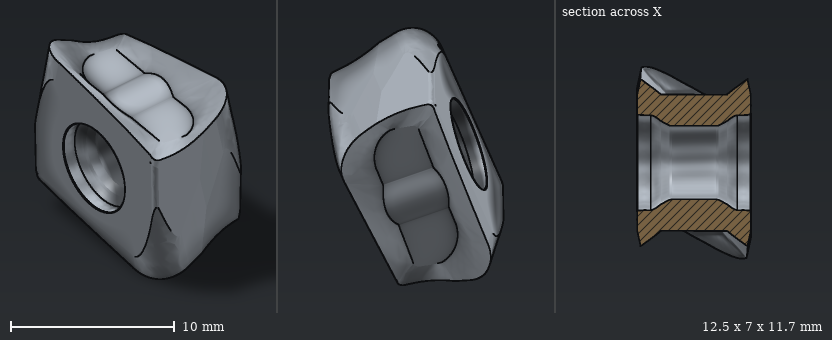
import cadquery as cq
import math

THICKNESS = 7.0
HALF_THICKNESS = THICKNESS / 2
REACH = 10.0

RELIEF_SLOPE = 0.215
FRONT_LINE_U = -4.386
FRONT_LINE_SLOPE = 0.0227
MID_LENGTH_X = 6.245
KNEE_U = -1.0
KNEE_X = 6.2
TANGENT_U = -2.17
TANGENT_X = 6.155
LARGE_CORNER_R = 2.4
SMALL_CORNER_R = 0.43
SIDE_EDGE_R = 0.35
END_FACE_X = 6.315
END_FACE_SLOPE = 0.134

FLOOR_Z = 3.88
HUMP_HALF_WIDTH = 1.5
HUMP_HEIGHT = 0.3
HUMP_FILLET_R = 0.25
HUMP_R = (HUMP_HALF_WIDTH ** 2 + HUMP_HEIGHT ** 2) / (2 * HUMP_HEIGHT)

LARGE_CORNER_WALL = [
    ((-6.18, 0.0, 4.54), (-5.02, 0.3)),
    ((-6.12, -1.05, 5.09), (-4.16, -0.95)),
    ((-5.75, -2.0, 5.54), (-3.48, -1.33)),
    ((-5.21, -2.61, 5.77), (-2.85, -1.49)),
    ((-4.4, -3.05, 5.81), (-2.0, -1.53)),
    ((-3.6, -3.22, 5.78), (-1.5, -1.56)),
]
LONG_WALL = [
    ((-3.6, -3.22, 5.78), (-1.5, -1.56)),
    ((0.26, -3.26, 5.07), (1.5, -1.77)),
    ((3.63, -3.33, 4.38), (3.86, -1.94)),
    ((5.3, -3.4, 3.95), (4.44, -1.98)),
]
SMALL_CORNER_WALL = [
    ((5.3, -3.4, 3.95), (4.44, -1.98)),
    ((5.7, -3.38, 3.76), (4.7, -1.88)),
    ((5.82, -3.15, 3.71), (4.8, -1.7)),
]
END_WALL = [
    ((5.82, -3.15, 3.71), (4.8, -1.7)),
    ((5.9, -2.6, 3.71), (4.86, -1.4)),
    ((5.97, -1.8, 3.79), (4.92, -1.1)),
    ((6.07, -1.0, 4.02), (4.99, -0.7)),
    ((6.18, 0.0, 4.54), (5.02, -0.3)),
]
WALL_OVERRUN = 0.25

BORE_R = 2.23
BORE_END = 1.35
BORE_BLEND_R = 2.26
BORE_BLEND_END = 1.5
SEAT_INNER_R = 2.53
SEAT_INNER_END = 2.02
SEAT_OUTER_R = 2.65
SEAT_OUTER_END = 2.17
WALL_R = 2.9
WALL_START = 2.63
MOUTH_WALL_R = 2.93
MOUTH_R = 2.98
MOUTH_CHAMFER = MOUTH_R - MOUTH_WALL_R


def half_turn(solid, axis):
    """Turn a solid by 180 degrees about the named axis."""
    tips = {"x": (1, 0, 0), "y": (0, 1, 0), "z": (0, 0, 1)}
    return solid.rotate((0, 0, 0), tips[axis], 180)


def leaning_prism(outline, lean):
    """Sweep a closed outline, given at Z = 0, along the lean direction to both sides."""
    travel = cq.Vector(*lean) * REACH
    wire = outline.wires().val().translate(travel * -1)
    return cq.Workplane(cq.Solid.extrudeLinear(wire, [], travel * 2))


def rounded(points, radii):
    """Closed outline with the corners at the given indices rounded."""
    wire = cq.Wire.makePolygon([cq.Vector(x, y, 0) for x, y in points], close=True)
    for index, radius in radii.items():
        x, y = points[index]
        corner = min(wire.Vertices(), key=lambda v: math.hypot(v.X - x, v.Y - y))
        wire = wire.fillet2D(radius, [corner])
    return cq.Workplane(wire)


def front_u(x):
    """Outline U of the front flank at the given X."""
    return FRONT_LINE_U + FRONT_LINE_SLOPE * x


def flank_solid():
    """Flanks that belong to the upper cutting edge on the -Y side."""
    blend_slope = (KNEE_X - TANGENT_X) / (KNEE_U - TANGENT_U)
    left_u = front_u(-TANGENT_X)
    left_x = -TANGENT_X + blend_slope * (TANGENT_U - left_u)
    right_u = front_u(END_FACE_X)
    right_x = END_FACE_X + END_FACE_SLOPE * right_u
    mid_slope = (MID_LENGTH_X - KNEE_X) / -KNEE_U
    outline = rounded(
        [
            (left_x, left_u),
            (right_x, right_u),
            (END_FACE_X + END_FACE_SLOPE * REACH, REACH),
            (-MID_LENGTH_X - mid_slope * REACH, REACH),
            (-KNEE_X, KNEE_U),
        ],
        {0: LARGE_CORNER_R, 1: SMALL_CORNER_R},
    )
    return leaning_prism(outline, (0, RELIEF_SLOPE, 1))


def rounded_side():
    """Side face y = -HALF_THICKNESS, rounded where it meets the end flank at +X."""
    corner_x = END_FACE_X - END_FACE_SLOPE * HALF_THICKNESS
    outline = rounded(
        [
            (-REACH, -HALF_THICKNESS),
            (corner_x, -HALF_THICKNESS),
            (END_FACE_X + END_FACE_SLOPE * REACH, REACH),
            (-REACH, REACH),
        ],
        {1: SIDE_EDGE_R},
    )
    return leaning_prism(outline, (-END_FACE_SLOPE * RELIEF_SLOPE, 0, 1))


def body():
    """Blank without recesses and hole, the common part of four turned copies of the flanks."""
    quarter = flank_solid().intersect(rounded_side())
    solid = quarter
    for axis in "xyz":
        solid = solid.intersect(half_turn(quarter, axis))
    return solid


def ruled_strip(pairs, turned):
    """Edges along one stretch of recess wall: at the floor, past the cutting edge and high above."""
    sign = -1 if turned else 1
    floor = [cq.Vector(sign * x, sign * y, FLOOR_Z) for _, (x, y) in pairs]
    edge = [cq.Vector(sign * x, sign * y, z) for (x, y, z), _ in pairs]
    outer = [e + (e - f) * WALL_OVERRUN for e, f in zip(edge, floor)]
    top = [cq.Vector(p.x, p.y, REACH) for p in outer]
    return [cq.Edge.makeSpline(points) for points in (floor, outer, top)]


def recess_cutter():
    """Volume above the recess floor, inside walls that flare out through the cutting edge."""
    walls = (LARGE_CORNER_WALL, LONG_WALL, SMALL_CORNER_WALL, END_WALL)
    strips = [ruled_strip(wall, turned) for turned in (False, True) for wall in walls]
    faces = []
    for floor, outer, top in strips:
        faces.append(cq.Face.makeRuledSurface(floor, outer))
        faces.append(cq.Face.makeRuledSurface(outer, top))
    floor_edges = [floor for floor, _, _ in strips]
    top_edges = [top for _, _, top in strips]
    for edges in (floor_edges, top_edges):
        faces.append(cq.Face.makeFromWires(cq.Wire.assembleEdges(edges)))
    cutter = cq.Solid.makeSolid(cq.Shell.makeShell(faces))
    return cq.Workplane(cutter.fix())


def hump():
    """Cylinder along Y whose crest rises above the recess floor."""
    return (
        cq.Workplane("XZ")
        .center(0, FLOOR_Z + HUMP_HEIGHT - HUMP_R)
        .circle(HUMP_R)
        .extrude(REACH, both=True)
    )


def hole():
    """Screw hole along Y with a seat at both mouths."""
    profile = (
        cq.Workplane("XY")
        .moveTo(0, 0)
        .lineTo(BORE_R, 0)
        .lineTo(BORE_R, BORE_END)
        .lineTo(BORE_BLEND_R, BORE_BLEND_END)
        .lineTo(SEAT_INNER_R, SEAT_INNER_END)
        .lineTo(SEAT_OUTER_R, SEAT_OUTER_END)
        .tangentArcPoint((WALL_R, WALL_START), relative=False)
        .lineTo(MOUTH_WALL_R, HALF_THICKNESS - MOUTH_CHAMFER)
        .lineTo(MOUTH_R, HALF_THICKNESS)
        .lineTo(0, HALF_THICKNESS)
        .close()
    )
    half = profile.revolve(360, (0, 0, 0), (0, 1, 0))
    return half.union(half_turn(half, "x"))


def recess():
    """Recess cutter at +Z with the hump left standing and its feet rounded."""
    return recess_cutter().cut(hump()).edges("|Y").fillet(HUMP_FILLET_R)


upper_recess = recess()
lower_recess = half_turn(upper_recess, "x")
result = body().cut(upper_recess).cut(lower_recess).cut(hole())